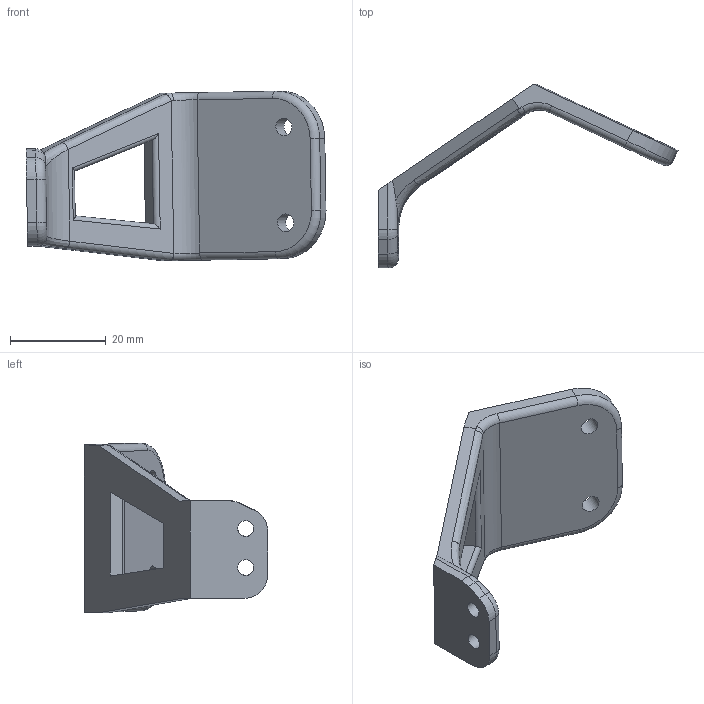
import cadquery as cq
import math

LEAN_ANGLE = 1.0

FLANGE_LENGTH = 16.24
WEB_ANGLE = 34.1
WEB_LENGTH = 39.48
ARM_ANGLE = 25.0
ARM_LENGTH = 32.8
THICKNESS = 4.0
FLANGE_BEND_RADIUS = 11.0
ARM_BEND_RADIUS = 5.5
PLATE_EDGE_RADIUS = 1.5

ARM_HEIGHT = 35.0
ARM_CORNER_RADIUS = 10.0
ARM_HOLE_DIAMETER = 3.7
ARM_HOLE_INSET = 7.5

FLANGE_BOTTOM = 3.53
FLANGE_HEIGHT = 20.35
FLANGE_TOP = FLANGE_BOTTOM + FLANGE_HEIGHT
FLANGE_CORNER_RADIUS = 5.0
FLANGE_EDGE_RADIUS = 2.0
FLANGE_BEVEL_LENGTH = 6.98
FLANGE_BEVEL_ANGLE = 25.0
FLANGE_HOLE_DIAMETER = 3.3
FLANGE_HOLE_INSET = 4.62
FLANGE_HOLE_SPACING = 8.15
FLANGE_LOWER_HOLE_HEIGHT = 6.4

TAPER_TOP_ANGLE = 20.5
TAPER_BOTTOM_ANGLE = 6.4

WINDOW_NEAR = 9.88
WINDOW_FAR = 29.78
WINDOW_NEAR_BOTTOM = 9.73
WINDOW_NEAR_TOP = 19.0
WINDOW_FAR_BOTTOM = 7.75
WINDOW_FAR_TOP = 25.26
WINDOW_EDGE_RADIUS = 1.0

CUT_MARGIN = 10.0


def step(point, angle, distance):
    """Point reached from `point` along a plan direction given in degrees from X."""
    turn = math.radians(angle)
    return (point[0] + distance * math.cos(turn), point[1] + distance * math.sin(turn))


def plate_plane(origin, angle):
    """Plane on a back face: local x along the plate, local y up, normal into the plate."""
    turn = math.radians(angle)
    return cq.Plane(
        origin=(origin[0], origin[1], 0),
        xDir=(math.cos(turn), math.sin(turn), 0),
        normal=(math.sin(turn), -math.cos(turn), 0),
    )


FLANGE_CORNER = (0, FLANGE_LENGTH)
APEX = step(FLANGE_CORNER, WEB_ANGLE, WEB_LENGTH)
ARM_END = step(APEX, -ARM_ANGLE, ARM_LENGTH)
FLANGE_TURN = 90 - WEB_ANGLE
ARM_TURN = WEB_ANGLE + ARM_ANGLE

INNER_FLANGE_CORNER = (
    THICKNESS,
    FLANGE_LENGTH - THICKNESS * math.tan(math.radians(FLANGE_TURN / 2)),
)
INNER_APEX = step(
    APEX,
    -90 + (WEB_ANGLE - ARM_ANGLE) / 2,
    THICKNESS / math.cos(math.radians(ARM_TURN / 2)),
)
INNER_ARM_END = step(ARM_END, -90 - ARM_ANGLE, THICKNESS)

FLANGE_TANGENT = FLANGE_BEND_RADIUS * math.tan(math.radians(FLANGE_TURN / 2))
ARM_TANGENT = ARM_BEND_RADIUS * math.tan(math.radians(ARM_TURN / 2))
FLANGE_BEND_START = step(INNER_FLANGE_CORNER, -90, FLANGE_TANGENT)
FLANGE_BEND_END = step(INNER_FLANGE_CORNER, WEB_ANGLE, FLANGE_TANGENT)
ARM_BEND_START = step(INNER_APEX, WEB_ANGLE, -ARM_TANGENT)
ARM_BEND_END = step(INNER_APEX, -ARM_ANGLE, ARM_TANGENT)
TAPER_START = WEB_LENGTH - THICKNESS * math.tan(math.radians(ARM_TURN / 2)) - ARM_TANGENT

WEB_PLANE = plate_plane(FLANGE_CORNER, WEB_ANGLE)
ARM_PLANE = plate_plane(APEX, -ARM_ANGLE)


def plate_blank():
    """Web and arm at full height, with both inner bends rounded."""
    return (
        cq.Workplane("XY")
        .moveTo(0, FLANGE_BEND_START[1])
        .lineTo(*FLANGE_CORNER)
        .lineTo(*APEX)
        .lineTo(*ARM_END)
        .lineTo(*INNER_ARM_END)
        .lineTo(*ARM_BEND_END)
        .radiusArc(ARM_BEND_START, -ARM_BEND_RADIUS)
        .lineTo(*FLANGE_BEND_END)
        .radiusArc(FLANGE_BEND_START, -FLANGE_BEND_RADIUS)
        .close()
        .extrude(ARM_HEIGHT)
    )


def web_taper(edge_height, angle):
    """Wedge that slopes one long edge of the web; a negative angle falls towards the flange."""
    end = -CUT_MARGIN
    end_height = edge_height + (TAPER_START - end) * math.tan(math.radians(angle))
    return (
        cq.Workplane(WEB_PLANE)
        .polyline([(TAPER_START, edge_height), (end, end_height), (end, edge_height)])
        .close()
        .extrude(2 * CUT_MARGIN, both=True)
    )


def window():
    """Four-sided opening straight through the web."""
    return (
        cq.Workplane(WEB_PLANE)
        .polyline([
            (WINDOW_NEAR, WINDOW_NEAR_BOTTOM),
            (WINDOW_FAR, WINDOW_FAR_BOTTOM),
            (WINDOW_FAR, WINDOW_FAR_TOP),
            (WINDOW_NEAR, WINDOW_NEAR_TOP),
        ])
        .close()
        .extrude(THICKNESS)
    )


def arm_holes():
    """Pair of holes through the arm, equally far from its three outer edges."""
    distance = ARM_LENGTH - ARM_HOLE_INSET
    return (
        cq.Workplane(ARM_PLANE)
        .pushPoints([(distance, ARM_HOLE_INSET), (distance, ARM_HEIGHT - ARM_HOLE_INSET)])
        .circle(ARM_HOLE_DIAMETER / 2)
        .extrude(THICKNESS)
    )


def nearest(point):
    """Selector for the face whose centre is nearest a plan point at mid height."""
    return cq.selectors.NearestToPointSelector((point[0], point[1], ARM_HEIGHT / 2))


def midpoint(first, second):
    """Plan point halfway between two plan points."""
    return ((first[0] + second[0]) / 2, (first[1] + second[1]) / 2)


def build_plate():
    """Web and arm with tapers, rounded rims, window and arm holes."""
    plate = plate_blank()
    plate = plate.cut(web_taper(ARM_HEIGHT, -TAPER_TOP_ANGLE))
    plate = plate.cut(web_taper(0, TAPER_BOTTOM_ANGLE))

    arm_tip = midpoint(ARM_END, INNER_ARM_END)
    plate = plate.faces(nearest(arm_tip)).edges("not |Z").edges(">Z or <Z").fillet(ARM_CORNER_RADIUS)

    inner_web = midpoint(FLANGE_BEND_END, ARM_BEND_START)
    inner_spots = [
        midpoint(FLANGE_BEND_START, FLANGE_BEND_END),
        inner_web,
        midpoint(ARM_BEND_START, ARM_BEND_END),
        midpoint(ARM_BEND_END, INNER_ARM_END),
    ]
    rim_edges = []
    for spot in inner_spots:
        rim_edges += plate.faces(nearest(spot)).edges("not |Z").vals()
    plate = plate.newObject(rim_edges).fillet(PLATE_EDGE_RADIUS)

    plate = plate.cut(window())
    window_rim = plate.faces(nearest(inner_web)).val().innerWires()[0]
    plate = plate.newObject(window_rim.Edges()).fillet(WINDOW_EDGE_RADIUS)
    return plate.cut(arm_holes())


def build_flange():
    """Bevelled and rounded flange with its two holes, running up to the back of the web."""
    reach = FLANGE_LENGTH + CUT_MARGIN
    bevel_drop = FLANGE_BEVEL_LENGTH * math.tan(math.radians(FLANGE_BEVEL_ANGLE))
    flange = (
        cq.Workplane("YZ")
        .polyline([
            (0, FLANGE_BOTTOM),
            (reach, FLANGE_BOTTOM),
            (reach, FLANGE_TOP),
            (FLANGE_BEVEL_LENGTH, FLANGE_TOP),
            (0, FLANGE_TOP - bevel_drop),
        ])
        .close()
        .extrude(THICKNESS)
    )
    flange = flange.edges("|X").edges("not >Y").fillet(FLANGE_CORNER_RADIUS)
    flange = flange.faces(">X").edges("not >Y").fillet(FLANGE_EDGE_RADIUS)

    behind_web = (
        cq.Workplane(WEB_PLANE)
        .center(0, ARM_HEIGHT / 2)
        .rect(2 * reach, ARM_HEIGHT)
        .extrude(-reach)
    )
    lower_hole = FLANGE_BOTTOM + FLANGE_LOWER_HOLE_HEIGHT
    holes = (
        cq.Workplane("YZ")
        .pushPoints([
            (FLANGE_HOLE_INSET, lower_hole),
            (FLANGE_HOLE_INSET, lower_hole + FLANGE_HOLE_SPACING),
        ])
        .circle(FLANGE_HOLE_DIAMETER / 2)
        .extrude(THICKNESS)
    )
    return flange.cut(behind_web).cut(holes)


bracket = build_plate().union(build_flange()).clean()
result = bracket.rotate((0, 0, 0), (0, 1, 0), -LEAN_ANGLE)